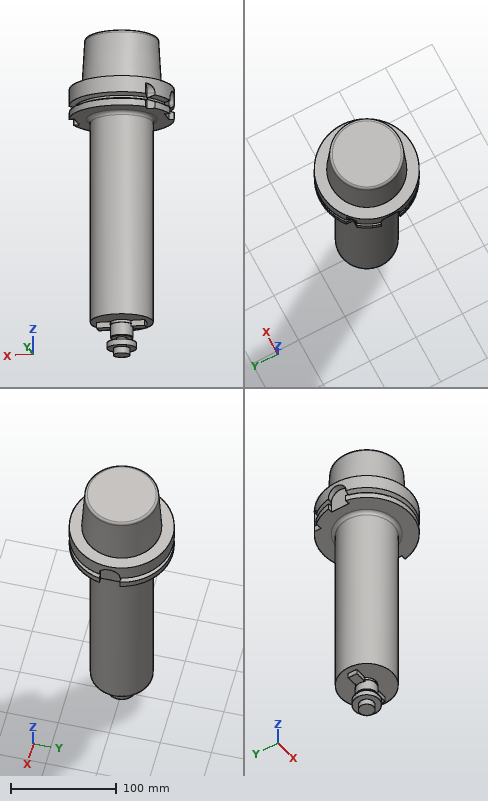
import cadquery as cq

total_height = 312.5
flange_top = 262.5
flange_bottom = 233.5
shank_bottom = 32.5
key_bottom = 27.0
spigot_bottom = 17.0
collar_top = 12.2
collar_bottom = 6.5

taper_base_diameter = 76.2
taper_tip_diameter = 70.5
taper_tip_fillet = 2.5

flange_diameter = 100.0
groove_floor_diameter = 90.0
groove_top = 246.5
groove_bottom = 240.0
groove_side_height = 2.2

shank_diameter = 60.0
shank_fillet = 3.8

spigot_diameter = 22.0
relief_diameter = 21.2
relief_height = 2.8
spigot_chamfer = 0.5
screw_neck_diameter = 10.0
collar_diameter = 28.0
screw_tip_diameter = 16.0

slot_width = 20.0
slot_top = 257.5
slot_floor_x = 43.8

notch_radius = 8.0
notch_inner_y = 31.2
notch_top = 257.0
notch_floor_x = 31.5

key_span = 47.0
key_width = 10.0
key_gap_diameter = 22.5


def cylinder(diameter, bottom, top):
    """Solid cylinder on the Z axis between two heights."""
    return cq.Workplane("XY").workplane(offset=bottom).circle(diameter / 2).extrude(top - bottom)


def make_taper():
    tip_radius = taper_tip_diameter / 2
    return (
        cq.Workplane("XZ")
        .moveTo(0, flange_top)
        .lineTo(taper_base_diameter / 2, flange_top)
        .lineTo(tip_radius, total_height - taper_tip_fillet)
        .radiusArc((tip_radius - taper_tip_fillet, total_height), -taper_tip_fillet)
        .lineTo(0, total_height)
        .close()
        .revolve(360, (0, 0), (0, 1))
    )


def make_flange():
    outer = flange_diameter / 2
    floor = groove_floor_diameter / 2
    groove = (
        cq.Workplane("XZ")
        .moveTo(outer, groove_bottom)
        .lineTo(floor, groove_bottom + groove_side_height)
        .lineTo(floor, groove_top - groove_side_height)
        .lineTo(outer, groove_top)
        .close()
        .revolve(360, (0, 0), (0, 1))
    )
    return cylinder(flange_diameter, flange_bottom, flange_top).cut(groove)


def make_shank():
    """Shank with a concave fillet running out into the underside of the flange."""
    radius = shank_diameter / 2
    return (
        cq.Workplane("XZ")
        .moveTo(0, shank_bottom)
        .lineTo(radius, shank_bottom)
        .lineTo(radius, flange_bottom - shank_fillet)
        .radiusArc((radius + shank_fillet, flange_bottom), shank_fillet)
        .lineTo(0, flange_bottom)
        .close()
        .revolve(360, (0, 0), (0, 1))
    )


def make_spigot():
    """Spigot with a shallow relief below the shank, then the clamping screw."""
    relief_bottom = shank_bottom - relief_height
    spigot = cylinder(spigot_diameter, spigot_bottom, relief_bottom).faces("<Z").chamfer(spigot_chamfer)
    return (
        spigot.union(cylinder(relief_diameter, relief_bottom, shank_bottom))
        .union(cylinder(screw_neck_diameter, collar_top, spigot_bottom))
        .union(cylinder(collar_diameter, collar_bottom, collar_top))
        .union(cylinder(screw_tip_diameter, 0, collar_bottom))
    )


def make_keys():
    """Bar across the axis, split into two keys by a narrow clearance around the spigot."""
    height = shank_bottom - key_bottom
    bar = cq.Workplane("XY").workplane(offset=key_bottom).rect(key_span, key_width).extrude(height)
    return bar.cut(cylinder(key_gap_diameter, key_bottom, shank_bottom))


def arched_slot(centre_y, radius, top, floor_x):
    """Cutter for a round-topped slot on the -X side, open at the underside of the flange."""
    depth = flange_diameter / 2 - floor_x
    spring_height = top - radius
    return (
        cq.Workplane("YZ")
        .workplane(offset=-flange_diameter / 2)
        .moveTo(centre_y - radius, flange_bottom)
        .lineTo(centre_y - radius, spring_height)
        .threePointArc((centre_y, top), (centre_y + radius, spring_height))
        .lineTo(centre_y + radius, flange_bottom)
        .close()
        .extrude(depth)
    )


drive_slot = arched_slot(0, slot_width / 2, slot_top, slot_floor_x)
notch = arched_slot(notch_inner_y + notch_radius, notch_radius, notch_top, notch_floor_x)

flange = make_flange().cut(notch)
for angle in (0, 180):
    flange = flange.cut(drive_slot.rotate((0, 0, 0), (0, 0, 1), angle))

result = flange.union(make_taper()).union(make_shank()).union(make_spigot()).union(make_keys())